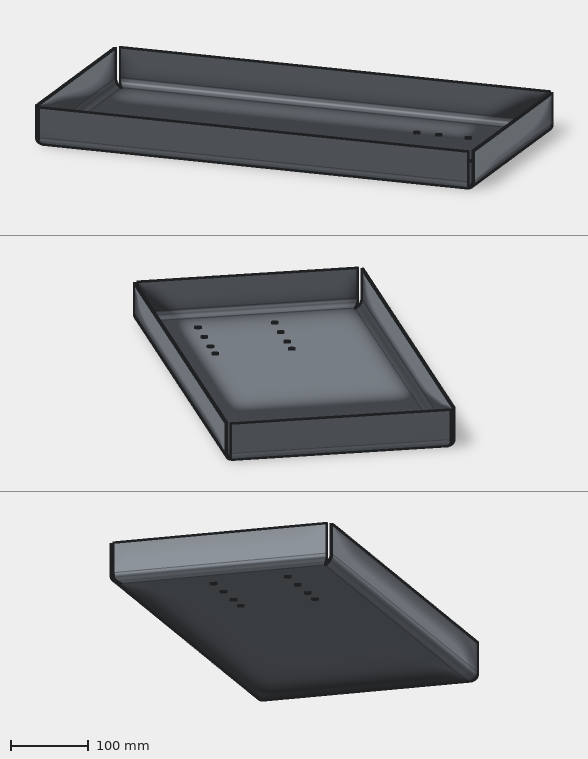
import cadquery as cq

length = 600.0
width = 300.0
height = 52.0
thickness = 2.0
bend_radius = 12.0
corner_inset = 6.0

hole_diameter = 7.0
hole_columns = [140.0, 170.0, 210.0, 250.0]
hole_rows = [75.0, -25.0]


def make_floor():
    """Flat sheet between the four bend lines."""
    return cq.Workplane("XY").box(
        length - 2 * bend_radius,
        width - 2 * bend_radius,
        thickness,
        centered=(True, True, False),
    )


def make_wall(span, outer_face):
    """Folded wall on the +X side, spanning Y, with its bend tapered at both ends."""
    bend_line = outer_face - bend_radius
    inner_face = outer_face - thickness
    inner_radius = bend_radius - thickness

    folded_strip = (
        cq.Workplane("XZ")
        .moveTo(bend_line, 0)
        .radiusArc((outer_face, bend_radius), -bend_radius)
        .lineTo(outer_face, height)
        .lineTo(inner_face, height)
        .lineTo(inner_face, bend_radius)
        .radiusArc((bend_line, thickness), inner_radius)
        .close()
        .extrude(span / 2, both=True)
    )

    half_at_bend_line = span / 2 - bend_radius
    half_at_wall = span / 2 - corner_inset
    trim = (
        cq.Workplane("XY")
        .polyline([
            (bend_line, -half_at_bend_line),
            (inner_face, -half_at_wall),
            (outer_face, -half_at_wall),
            (outer_face, half_at_wall),
            (inner_face, half_at_wall),
            (bend_line, half_at_bend_line),
        ])
        .close()
        .extrude(height)
    )
    return folded_strip.intersect(trim)


def turn(body, angle):
    """Rotate a body about the tray's vertical centre line."""
    return body.rotate((0, 0, 0), (0, 0, 1), angle)


end_wall = make_wall(width, length / 2)
side_wall = turn(make_wall(length, width / 2), 90)
result = make_floor()
for wall in (end_wall, side_wall):
    result = result.union(wall).union(turn(wall, 180))

hole_centres = [(x, y) for x in hole_columns for y in hole_rows]
holes = (
    cq.Workplane("XY")
    .pushPoints(hole_centres)
    .circle(hole_diameter / 2)
    .extrude(thickness)
)
result = result.cut(holes)